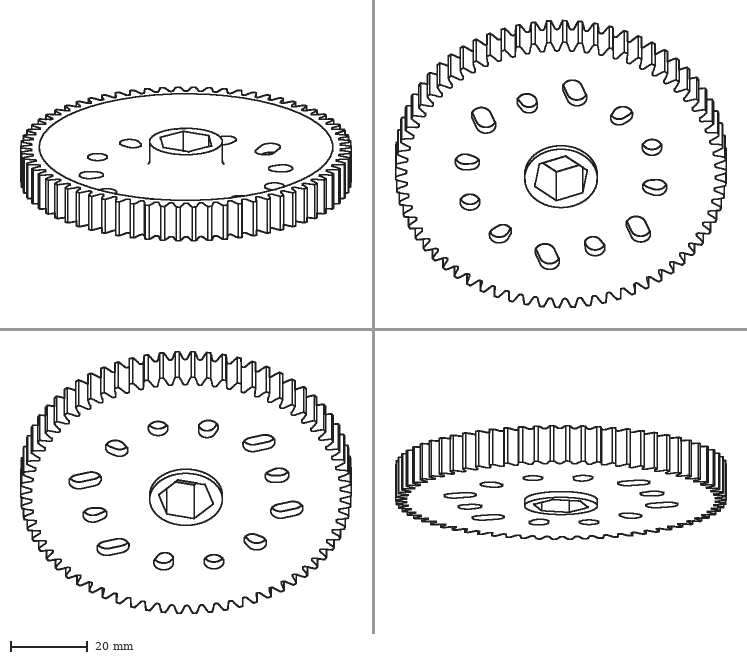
import cadquery as cq
import math

outside_diameter = 86.4
tooth_count = 66
dedendum_factor = 1.25
pressure_angle = math.radians(20)
module = outside_diameter / (tooth_count + 2)
pitch_radius = module * tooth_count / 2
base_radius = pitch_radius * math.cos(pressure_angle)
tip_radius = outside_diameter / 2
root_radius = pitch_radius - dedendum_factor * module
gap_bottom_rise = 0.5
flank_start_radius = root_radius + gap_bottom_rise
flank_points = 4

rim_width = 9.5
hub_length = 12.6
hub_radius = 9.5
rim_inner_radius = 38.35
web_thickness = 2.6
web_fillet = 3.2
hex_across_flats = 12.7

hole_diameter = 5.1
bolt_circle_radius = 25.4
slot_x = bolt_circle_radius * math.cos(math.radians(60))
slot_inner_y = bolt_circle_radius * math.sin(math.radians(60))
slot_outer_y = bolt_circle_radius
small_hole_diameter = 4.3
small_hole_circle_radius = 23.8

rim_bottom = -rim_width / 2
rim_top = rim_width / 2
web_top = rim_bottom + web_thickness


def involute_roll(radius):
    """Angle swept by the involute between the base circle and the given radius."""
    slope = math.acos(base_radius / radius)
    return math.tan(slope) - slope


def half_tooth_angle(radius):
    """Half of the angle a tooth covers at the given radius."""
    half_at_pitch = math.pi / (2 * tooth_count)
    return half_at_pitch + involute_roll(pitch_radius) - involute_roll(radius)


def polar(radius, angle):
    """Point at the given distance and direction from the gear axis."""
    return (radius * math.cos(angle), radius * math.sin(angle))


def tooth_outline():
    """Closed outline of all teeth, with the first tooth centred on +Y."""
    pitch_angle = 2 * math.pi / tooth_count
    step = (tip_radius - flank_start_radius) / (flank_points - 1)
    radii = [flank_start_radius + step * i for i in range(flank_points)]
    first_angle = math.pi / 2
    start = polar(flank_start_radius, first_angle - half_tooth_angle(flank_start_radius))
    outline = cq.Workplane("XY").workplane(offset=rim_bottom).moveTo(*start)
    for tooth in range(tooth_count):
        middle = first_angle + tooth * pitch_angle
        rising = [polar(r, middle - half_tooth_angle(r)) for r in radii]
        falling = [polar(r, middle + half_tooth_angle(r)) for r in reversed(radii)]
        gap_bottom = polar(root_radius, middle + pitch_angle / 2)
        next_start = polar(
            flank_start_radius,
            middle + pitch_angle - half_tooth_angle(flank_start_radius),
        )
        outline = (
            outline.spline(rising[1:], includeCurrent=True)
            .threePointArc(polar(tip_radius, middle), falling[0])
            .spline(falling[1:], includeCurrent=True)
            .threePointArc(gap_bottom, next_start)
        )
    return outline.close()


def recess():
    """Ring-shaped recess above the web, filleted where it meets the hub and the rim."""
    ring = (
        cq.Workplane("XY")
        .workplane(offset=web_top)
        .circle(rim_inner_radius)
        .circle(hub_radius)
        .extrude(rim_top - web_top)
    )
    return ring.faces("<Z").edges().fillet(web_fillet)


def tapered_slots():
    """Slots narrowing towards the gear axis, with flat sides tangent to both round ends."""
    large_radius = hole_diameter / 2
    small_radius = small_hole_diameter / 2
    center_distance = bolt_circle_radius - small_hole_circle_radius
    tangent_cos = (large_radius - small_radius) / center_distance
    tangent_sin = math.sqrt(1 - tangent_cos**2)
    large_tangent_x = bolt_circle_radius - large_radius * tangent_cos
    small_tangent_x = small_hole_circle_radius - small_radius * tangent_cos
    slot = (
        cq.Workplane("XY")
        .workplane(offset=-hub_length / 2)
        .moveTo(large_tangent_x, -large_radius * tangent_sin)
        .threePointArc(
            (bolt_circle_radius + large_radius, 0),
            (large_tangent_x, large_radius * tangent_sin),
        )
        .lineTo(small_tangent_x, small_radius * tangent_sin)
        .threePointArc(
            (small_hole_circle_radius - small_radius, 0),
            (small_tangent_x, -small_radius * tangent_sin),
        )
        .close()
        .extrude(hub_length)
    )
    slots = cq.Workplane("XY")
    for angle in range(30, 360, 60):
        slots = slots.add(slot.rotate((0, 0, 0), (0, 0, 1), angle))
    return slots.combine()


def straight_slots():
    """Four slots along Y, reaching outwards from the bolt circle."""
    slot_middle_y = (slot_inner_y + slot_outer_y) / 2
    centers = [(x, y) for x in (-slot_x, slot_x) for y in (-slot_middle_y, slot_middle_y)]
    return (
        cq.Workplane("XY")
        .workplane(offset=-hub_length / 2)
        .pushPoints(centers)
        .slot2D(slot_outer_y - slot_inner_y + hole_diameter, hole_diameter, 90)
        .extrude(hub_length)
    )


def round_holes():
    """Two plain holes on the X axis."""
    return (
        cq.Workplane("XY")
        .workplane(offset=-hub_length / 2)
        .pushPoints([(-bolt_circle_radius, 0), (bolt_circle_radius, 0)])
        .circle(hole_diameter / 2)
        .extrude(hub_length)
    )


def hex_bore():
    """Hexagonal bore with two corners on the X axis."""
    across_corners = hex_across_flats / math.cos(math.radians(30))
    return (
        cq.Workplane("XY")
        .workplane(offset=-hub_length / 2)
        .polygon(6, across_corners)
        .extrude(hub_length)
    )


hub = cq.Workplane("XY").circle(hub_radius).extrude(hub_length / 2, both=True)

result = (
    tooth_outline()
    .extrude(rim_width)
    .cut(recess())
    .union(hub)
    .cut(tapered_slots())
    .cut(straight_slots())
    .cut(round_holes())
    .cut(hex_bore())
)